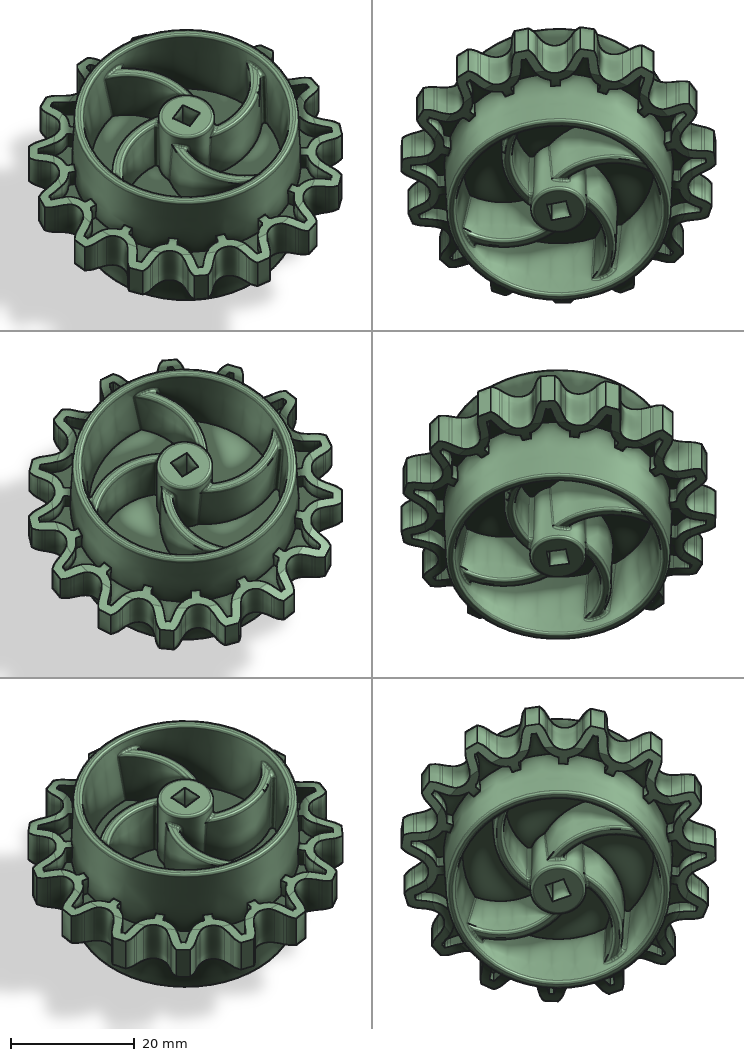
import cadquery as cq
import math

tooth_count = 15
half_height = 12.7
web_half_thickness = 0.5
edge_round = 0.5
tolerance = 0.01

drum_mid_radius = 18.5
drum_draft = math.radians(2)
cup_floor_radius = 15.4
cup_top_radius = 16.7
wall_middle_radius = (drum_mid_radius + cup_floor_radius) / 2

hub_radius = 9 / 2
square_side = 3.175
square_turn = 10

tooth_phase = 4
pitch_angle = 360 / tooth_count
ring_half_height = 7.5 / 2
tip_half_height = 6.0 / 2
root_radius = 20.97
taper_start_radius = 21.5
tip_corner = (25.42, 1.13)
topping_middle = (24.72, 1.63)
topping_end = (23.95, 1.95)
flank_start = (23.47, 2.09)
flank_middle = (22.67, 2.33)
seat_end = (21.95, 2.62)

tooth_wall = 1.5
spoke_width = 1.5
pocket_corner_radius = 0.35

rib_count = 4
rib_spacing = 360 / rib_count
rib_arc_center = (6.75, 6.8)
rib_arc_radius = 11.9
rib_top = 10.4
rib_base_half_width = 1.15
rib_draft = math.radians(2)
rib_start_angle = -125
rib_end_angle = -5


def turned(point, angle):
    """Rotate a point about the origin by an angle in degrees."""
    a = math.radians(angle)
    x, y = point
    return (x * math.cos(a) - y * math.sin(a), x * math.sin(a) + y * math.cos(a))


def mirrored(point):
    return (point[0], -point[1])


class SpokeCorners(cq.Selector):
    """Upright pocket edges where the tooth wall meets a spoke."""

    def filter(self, edges):
        def is_corner(edge):
            middle = edge.Center()
            radius = math.hypot(middle.x, middle.y)
            upright = edge.BoundingBox().zlen > 1
            return upright and drum_mid_radius < radius < root_radius - pocket_corner_radius

        return [edge for edge in edges if is_corner(edge)]


class RibEnds(cq.Selector):
    """Steep edges where the sides of the round-topped ribs meet the hub and the drum."""

    def filter(self, edges):
        def is_rib_end(edge):
            box = edge.BoundingBox()
            starts_on_web = abs(box.zmin - web_half_thickness) < tolerance
            return starts_on_web and rib_top - 2 * edge_round < box.zmax < rib_top + tolerance

        return [edge for edge in edges if is_rib_end(edge)]


def gear_outline():
    """Closed outline of all the teeth at mid height."""
    outline = cq.Workplane("XY").moveTo(*turned(mirrored(tip_corner), tooth_phase))
    for tooth in range(tooth_count):
        here = tooth_phase + tooth * pitch_angle
        following = here + pitch_angle
        gap_bottom = turned((root_radius, 0), here + pitch_angle / 2)
        outline = (
            outline.lineTo(*turned(tip_corner, here))
            .threePointArc(turned(topping_middle, here), turned(topping_end, here))
            .lineTo(*turned(flank_start, here))
            .threePointArc(turned(flank_middle, here), turned(seat_end, here))
            .threePointArc(gap_bottom, turned(mirrored(seat_end), following))
            .threePointArc(
                turned(mirrored(flank_middle), following),
                turned(mirrored(flank_start), following),
            )
            .lineTo(*turned(mirrored(topping_end), following))
            .threePointArc(
                turned(mirrored(topping_middle), following),
                turned(mirrored(tip_corner), following),
            )
        )
    return outline.close()


def drum_half():
    """Solid of revolution: tapered drum, upper half."""
    top_radius = drum_mid_radius - half_height * math.tan(drum_draft)
    profile = (
        cq.Workplane("XZ")
        .lineTo(drum_mid_radius, 0)
        .lineTo(top_radius, half_height)
        .lineTo(0, half_height)
        .close()
    )
    return profile.revolve(360, (0, 0), (0, 1))


def cup_half():
    """Solid that is hollowed out of the drum."""
    profile = (
        cq.Workplane("XZ")
        .moveTo(0, web_half_thickness)
        .lineTo(cup_floor_radius, web_half_thickness)
        .lineTo(cup_top_radius, half_height)
        .lineTo(0, half_height)
        .close()
    )
    return profile.revolve(360, (0, 0), (0, 1))


def toothed_ring_half():
    """Teeth with tapered tips and a pocket inside each tooth."""
    ring = gear_outline().extrude(ring_half_height)
    envelope = (
        cq.Workplane("XZ")
        .lineTo(tip_corner[0], 0)
        .lineTo(tip_corner[0], tip_half_height)
        .lineTo(taper_start_radius, ring_half_height)
        .lineTo(0, ring_half_height)
        .close()
        .revolve(360, (0, 0), (0, 1))
    )
    tip_reach = math.hypot(*tip_corner)
    envelope = envelope.union(cq.Workplane("XY").circle(tip_reach).extrude(tip_half_height))
    drum_space = cq.Workplane("XY").circle(wall_middle_radius).extrude(ring_half_height)
    return ring.intersect(envelope).cut(drum_space).cut(tooth_pockets())


def tooth_pockets():
    depth = ring_half_height - web_half_thickness
    pockets = gear_outline().offset2D(-tooth_wall).extrude(depth)
    pockets = pockets.cut(cq.Workplane("XY").circle(wall_middle_radius).extrude(depth))
    for gap in range(tooth_count):
        spoke = (
            cq.Workplane("XY")
            .rect(root_radius, spoke_width)
            .extrude(depth)
            .translate((root_radius / 2, 0, 0))
            .rotate((0, 0, 0), (0, 0, 1), tooth_phase + (gap + 0.5) * pitch_angle)
        )
        pockets = pockets.cut(spoke)
    pockets = pockets.edges(SpokeCorners()).fillet(pocket_corner_radius)
    return pockets.translate((0, 0, web_half_thickness))


def hub_half():
    return cq.Workplane("XY").circle(hub_radius).extrude(half_height).faces(">Z").edges().fillet(edge_round)


def rib_half():
    """One curved rib: its drafted, round-topped section swept about the arc centre."""
    top_half_width = rib_base_half_width - (rib_top - web_half_thickness) * math.tan(rib_draft)
    inner_base = rib_arc_radius - rib_base_half_width
    outer_base = rib_arc_radius + rib_base_half_width
    inner_top = rib_arc_radius - top_half_width
    outer_top = rib_arc_radius + top_half_width
    blank = (
        cq.Workplane("XZ")
        .moveTo(inner_base, 0)
        .lineTo(outer_base, 0)
        .lineTo(outer_base, web_half_thickness)
        .lineTo(outer_top, rib_top)
        .lineTo(inner_top, rib_top)
        .lineTo(inner_base, web_half_thickness)
        .close()
        .revolve(rib_end_angle - rib_start_angle, (0, 0), (0, -1))
        .faces(">Z")
        .edges("%CIRCLE")
        .fillet(edge_round)
    )
    rib = blank.rotate((0, 0, 0), (0, 0, 1), rib_end_angle).translate((*rib_arc_center, 0))
    return rib.intersect(cq.Workplane("XY").circle(wall_middle_radius).extrude(rib_top))


def drum_with_ribs_half():
    """Hollow drum with its hub and ribs, all edges rounded."""
    drum = drum_half().cut(cup_half()).faces(">Z").edges().fillet(edge_round)
    core = drum.union(hub_half()).rotate((0, 0, 0), (0, 0, 1), rib_spacing / 2)
    for i in range(rib_count):
        core = core.union(rib_half().rotate((0, 0, 0), (0, 0, 1), i * rib_spacing))
    return core.edges(RibEnds()).fillet(edge_round)


def square_hole():
    return (
        cq.Workplane("XY")
        .rect(square_side, square_side)
        .extrude(half_height, both=True)
        .rotate((0, 0, 0), (0, 0, 1), square_turn)
    )


upper = drum_with_ribs_half().union(toothed_ring_half())
result = upper.union(upper.mirror("XY")).cut(square_hole())